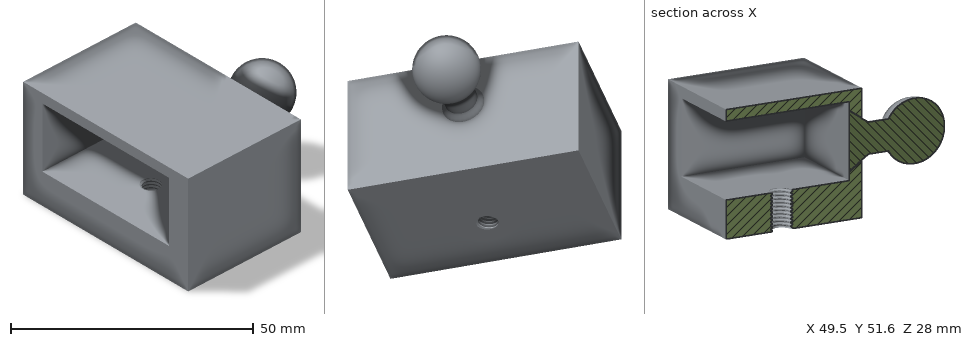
import cadquery as cq

block_width = 49.5
block_depth = 32.0
block_height = 28.0
floor_thickness = 8.5
roof_thickness = 2.6
side_wall = 5.75
back_wall = 3.0
pocket_width = block_width - 2 * side_wall
pocket_depth = block_depth - back_wall
pocket_height = block_height - floor_thickness - roof_thickness
stud_axis_height = floor_thickness + pocket_height / 2

thread_minor_radius = 4.2 / 2
thread_major_radius = 5.1 / 2
thread_pitch = 0.8
thread_hole_y = 13.15
groove_mouth = 0.6
groove_root = 0.15
groove_overlap = 0.05

overall_depth = 51.55
ball_radius = 14.2 / 2
neck_radius = 7.0 / 2
base_radius = 13.05 / 2
taper_projection = 1.55
base_y = pocket_depth
neck_start_y = block_depth + taper_projection
ball_center_y = overall_depth - ball_radius
neck_end_y = ball_center_y - (ball_radius**2 - neck_radius**2) ** 0.5


def make_ball_stud():
    """Revolve the taper, neck and ball about the stud axis, parallel to Y."""
    profile = (
        cq.Workplane("XY")
        .moveTo(0, base_y)
        .lineTo(base_radius, base_y)
        .lineTo(neck_radius, neck_start_y)
        .lineTo(neck_radius, neck_end_y)
        .threePointArc((ball_radius, ball_center_y), (0, overall_depth))
        .close()
    )
    stud = profile.revolve(360, (0, 0, 0), (0, 1, 0))
    return stud.translate((0, 0, stud_axis_height))


def make_thread_cutters():
    """Helical groove, then the core drill, both running one pitch past both ends of the hole."""
    length = floor_thickness + 2 * thread_pitch
    core = cq.Workplane("XY").circle(thread_minor_radius).extrude(length)
    helix = cq.Wire.makeHelix(thread_pitch, length, thread_minor_radius)
    inner_radius = thread_minor_radius - groove_overlap
    groove = (
        cq.Workplane("XZ")
        .polyline([
            (inner_radius, -groove_mouth / 2),
            (thread_major_radius, -groove_root / 2),
            (thread_major_radius, groove_root / 2),
            (inner_radius, groove_mouth / 2),
        ])
        .close()
        .sweep(cq.Workplane(obj=helix), isFrenet=True)
    )
    return [tool.translate((0, thread_hole_y, -thread_pitch)) for tool in (groove, core)]


def make_block(stud):
    """Box with a front pocket, a threaded hole in its floor and the stud's seat in its back wall."""
    block = cq.Workplane("XY").box(
        block_width, block_depth, block_height, centered=(True, False, False)
    )
    pocket = (
        cq.Workplane("XY")
        .box(pocket_width, pocket_depth, pocket_height, centered=(True, False, False))
        .translate((0, 0, floor_thickness))
    )
    block = block.cut(pocket)
    for cutter in make_thread_cutters():
        block = block.cut(cutter)
    return block.cut(stud)


ball_stud = make_ball_stud()
block = make_block(ball_stud)

result = cq.Compound.makeCompound([block.solids().val(), ball_stud.val()])